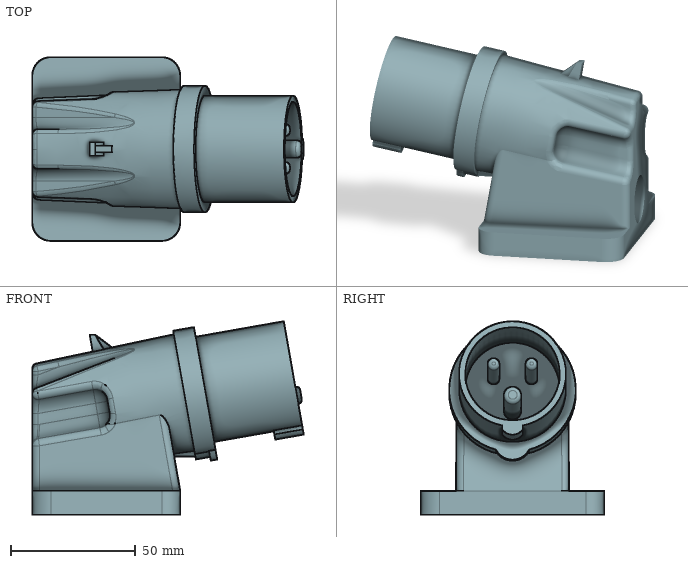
import cadquery as cq
import math

tilt = 10.0
overall_height = 77.95
overall_length = 109.28

base_length = 59.6
base_width = 74.0
base_height = 9.7
base_corner_radius = 7.5

pedestal_back_half_width = 20.35
pedestal_front_half_width = 22.95
front_edge_radius = 3.0

sleeve_edge_radius = 2.3
pedestal_edge_radius = 3.0

sleeve_radius = 24.0
sleeve_taper = 2.0

collar_radius = 25.5
collar_length = 8.5
barrel_radius = 21.5
barrel_length = 36.0
cavity_radius = 19.0
plug_length = collar_length + barrel_length

key_length = 11.7
key_half_width = 4.2
key_flank = 22.7
key_crown = 24.85

lug_half_width = 5.4
lug_crown = 27.2
lug_flank = 24.9
hook_half_width = 6.7
hook_flank = 24.7
hook_crown = 28.7
hook_length = 2.7

pin_circle_radius = 8.8
earth_pin_radius = 3.5
earth_pin_overhang = 1.7
phase_pin_radius = 2.4
phase_pin_overhang = -0.6
pin_tip_radius = 1.7

flute_wall = 8.0
flute_floor_height = 50.4
flute_slope = 21.0
flute_corner_radius = 4.8

pocket_floor = 13.1
pocket_height = 15.6
pocket_length = 31.2
pocket_corner_radius = 5.6
pocket_end_radius = 5.0

cable_hole_radius = 9.75
cable_hole_height = 16.5
cable_hole_depth = 6.3

web_half_width = 4.0
web_bottom = 23.5

arrow_back = 23.1
arrow_tip_height = 72.5
arrow_tip_length = 2.2
arrow_root_height = 64.0
arrow_head_half_width = 2.77
arrow_head_front = 30.3
arrow_tail_half_width = 1.36
arrow_tail_front = 36.6

cos_tilt = math.cos(math.radians(tilt))
sin_tilt = math.sin(math.radians(tilt))
rim_x = overall_length - key_crown * sin_tilt
rim_z = overall_height - barrel_radius * cos_tilt
seat_x = rim_x - plug_length * cos_tilt
seat_z = rim_z - plug_length * sin_tilt
sleeve_length = (seat_x + sleeve_radius) / cos_tilt
front_distance = (base_length - seat_x) * cos_tilt + (base_height - seat_z) * sin_tilt
axis_height_at_back = seat_z - seat_x * sin_tilt / cos_tilt
reach = 2 * base_width
tolerance = 1e-3


def place_on_plug_axis(shape):
    """Move a shape built along +X from the origin onto the tilted plug axis."""
    return shape.rotate((0, 0, 0), (0, 1, 0), -tilt).translate((seat_x, 0, seat_z))


def crowned_bar(half_width, flank, crown, start, length):
    """Bar under the plug axis with flat flanks and an arched underside."""
    return (
        cq.Workplane("YZ", origin=(start, 0, 0))
        .moveTo(-half_width, -cavity_radius)
        .lineTo(-half_width, -flank)
        .threePointArc((0, -crown), (half_width, -flank))
        .lineTo(half_width, -cavity_radius)
        .close()
        .extrude(length)
    )


def make_base():
    return (
        cq.Workplane("XY")
        .rect(base_length, base_width)
        .extrude(base_height)
        .edges("|Z")
        .fillet(base_corner_radius)
        .translate((base_length / 2, 0, 0))
    )


def edges_to_round(body, rounded_faces, plain_faces):
    """Edges of the rounded faces, without those of the plain faces and seams on the middle plane."""
    plain_edges = body.faces(plain_faces).edges().vals()
    chosen = []
    for edge in body.faces(rounded_faces).edges().vals():
        is_plain = any(edge.isSame(other) for other in plain_edges)
        on_middle_plane = edge.BoundingBox().ylen < tolerance and abs(edge.Center().y) < tolerance
        is_seam = on_middle_plane and edge.geomType() == "LINE"
        if not is_plain and not is_seam:
            chosen.append(edge)
    return body.newObject(chosen)


def both_sides(cutter):
    """The cutter and its mirror image across the middle plane."""
    return [cutter, cutter.mirror("XZ")]


def make_flutes():
    """L-shaped cutters with a rounded corner, their floors rising towards the plug."""
    return both_sides(
        cq.Workplane("XY")
        .box(reach, base_width / 2, base_width / 2, centered=(True, False, False))
        .edges("|X and <Y and <Z")
        .fillet(flute_corner_radius)
        .translate((0, flute_wall, 0))
        .rotate((0, 0, 0), (0, 1, 0), -flute_slope)
        .translate((0, 0, flute_floor_height))
    )


def make_pockets():
    """Blind troughs centred on the plug axis and open to the back and side."""
    return both_sides(
        cq.Workplane("XY")
        .box(2 * pocket_length, base_width / 2, pocket_height, centered=(True, False, True))
        .edges("|X and <Y")
        .fillet(pocket_corner_radius)
        .faces(">X")
        .edges("not >Y")
        .fillet(pocket_end_radius)
        .translate((0, pocket_floor, 0))
        .rotate((0, 0, 0), (0, 1, 0), -tilt)
        .translate((0, 0, axis_height_at_back))
    )


def make_pedestal():
    """Drafted block reaching up to the plug axis, its front square to that axis."""
    plan = (
        cq.Workplane("XY")
        .polyline([
            (0, -pedestal_back_half_width),
            (base_length, -pedestal_front_half_width),
            (base_length, pedestal_front_half_width),
            (0, pedestal_back_half_width),
        ])
        .close()
        .extrude(overall_height)
    )
    side = (
        cq.Workplane("XZ")
        .polyline([
            (0, base_height),
            (base_length, base_height),
            (seat_x + front_distance * cos_tilt, seat_z + front_distance * sin_tilt),
            (0, axis_height_at_back),
        ])
        .close()
        .extrude(base_width / 2, both=True)
    )
    pedestal = plan.intersect(side)
    for pocket in make_pockets():
        pedestal = pedestal.cut(pocket)
    pedestal = edges_to_round(pedestal, "<X or <Y or >Y", "<Z or >Z or >X").fillet(pedestal_edge_radius)
    return pedestal.faces(">X").edges("not (<Z or >Z)").fillet(front_edge_radius)


def make_sleeve():
    """Cone that widens towards the collar, with flutes and pockets cut into it."""
    back_radius = sleeve_radius - sleeve_length * math.tan(math.radians(sleeve_taper))
    cone = cq.Workplane("XY").add(
        cq.Solid.makeCone(
            back_radius, sleeve_radius, sleeve_length,
            pnt=cq.Vector(-sleeve_length, 0, 0), dir=cq.Vector(1, 0, 0),
        )
    )
    behind_back_face = cq.Workplane("XY").box(reach, reach, reach).translate((-reach / 2, 0, 0))
    sleeve = place_on_plug_axis(cone).cut(behind_back_face)
    for cutter in make_pockets() + make_flutes():
        sleeve = sleeve.cut(cutter)
    return edges_to_round(sleeve, "%CONE or <X", ">X").fillet(sleeve_edge_radius)


def make_web():
    """Flat-bottomed web that fills the gap under the sleeve up to the collar."""
    web = (
        cq.Workplane("XY")
        .box(reach, 2 * web_half_width, seat_z - web_bottom, centered=(False, True, False))
        .translate((base_length / 2, 0, web_bottom))
    )
    beyond_seat = place_on_plug_axis(
        cq.Workplane("XY").box(reach, reach, reach, centered=(False, True, True))
    )
    return web.cut(beyond_seat)


def make_arrow_marker():
    """Upright wedge with a wide head and a narrow, longer tail."""
    tip_x = arrow_back + arrow_tip_length
    lean = (arrow_tip_height - arrow_root_height) * sin_tilt / cos_tilt
    wedges = []
    outlines = (
        (arrow_head_half_width, arrow_head_front),
        (arrow_tail_half_width, arrow_tail_front),
    )
    for half_width, front in outlines:
        wedges.append(
            cq.Workplane("XZ")
            .polyline([
                (arrow_back + lean, arrow_root_height),
                (arrow_back, arrow_tip_height),
                (tip_x, arrow_tip_height),
                (front, arrow_root_height),
            ])
            .close()
            .extrude(half_width, both=True)
        )
    head, tail = wedges
    return head.union(tail)


def make_housing():
    cable_hole = (
        cq.Workplane("YZ")
        .center(0, cable_hole_height)
        .circle(cable_hole_radius)
        .extrude(cable_hole_depth)
    )
    return (
        make_base()
        .union(make_pedestal())
        .union(make_sleeve())
        .union(make_web())
        .union(make_arrow_marker())
        .cut(cable_hole)
    )


def make_pin(radius, overhang, angle):
    """Round-tipped contact standing on the cavity floor at an angle around the axis."""
    return (
        cq.Workplane("YZ", origin=(collar_length, 0, 0))
        .center(
            pin_circle_radius * math.sin(math.radians(angle)),
            pin_circle_radius * math.cos(math.radians(angle)),
        )
        .circle(radius)
        .extrude(barrel_length + overhang)
        .faces(">X")
        .edges()
        .fillet(pin_tip_radius)
    )


def make_plug():
    plug = (
        cq.Workplane("YZ")
        .circle(collar_radius)
        .extrude(collar_length)
        .faces(">X")
        .workplane()
        .circle(barrel_radius)
        .extrude(barrel_length)
        .union(crowned_bar(lug_half_width, lug_flank, lug_crown, 0, collar_length))
        .union(crowned_bar(hook_half_width, hook_flank, hook_crown, collar_length - hook_length, hook_length))
        .union(crowned_bar(key_half_width, key_flank, key_crown, plug_length - key_length, key_length))
        .faces(">X")
        .workplane(origin=(plug_length, 0, 0))
        .circle(cavity_radius)
        .cutBlind(-barrel_length)
        .union(make_pin(earth_pin_radius, earth_pin_overhang, 180))
    )
    for angle in (60, -60):
        plug = plug.union(make_pin(phase_pin_radius, phase_pin_overhang, angle))
    return place_on_plug_axis(plug)


housing = make_housing()
plug = make_plug()
result = cq.Compound.makeCompound([housing.val(), plug.val()])